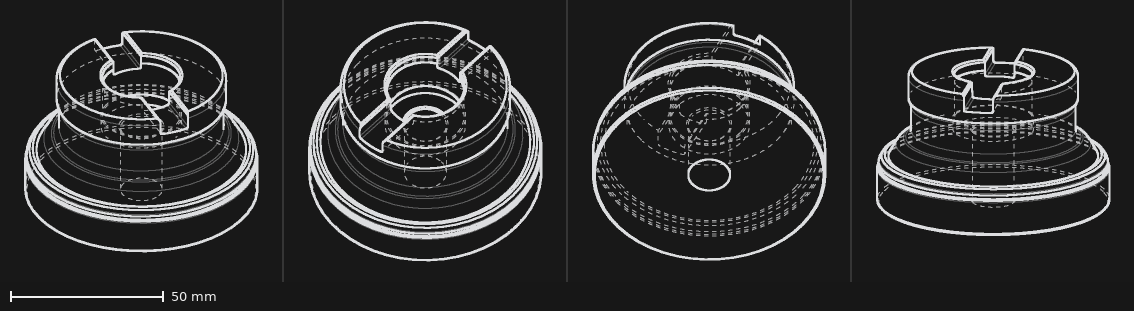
import cadquery as cq
import math

height = 44.4
rim_top = 16.1
neck_bottom = 24.5
neck_top = 32.6

base_radius = 38.1
band_radius = 37.6
neck_radius = 54.0 / 2
cap_radius = 55.6 / 2
cap_face_radius = 26.7

base_chamfer = 0.6
base_wall_top = 11.3
base_shoulder_radius = 37.95
base_shoulder_level = 11.9
base_shoulder_top = 12.35
band_top = 13.6
rim_slope_bottom_radius = 37.4
rim_slope_bottom = 14.2
rim_slope_radius = 36.65
rim_slope_top = 15.5
rim_crest_radius = 35.6
valley_radius = 34.35
valley_level = 15.5

upper_slope = math.radians(20)
lower_slope = math.radians(60)
neck_fillet = 2.6
shoulder_flat_width = 0.75
shoulder_round = 4.7

underside_slope = math.radians(25)
underside_fillet = 4.2
cap_round_height = 1.8

bore_radius = 25.4 / 2
relief_radius = 26.4 / 2
entry_radius = bore_radius + 0.1
entry_depth = 3.5
entry_chamfer = 0.7
relief_depth = 15.6
bore_depth = 19.8
hole_radius = 13.7 / 2
hole_chamfer = 0.5

slot_width = 9.75
slot_depth = 5.55
slot_floor_fillet = 0.7
slot_edge_chamfer = 0.6


def along_arc(start, radius, start_angle, end_angle):
    """Return the middle and end points of an arc whose radii run between two angles."""
    def offset(angle):
        x = start[0] + radius * (math.cos(angle) - math.cos(start_angle))
        z = start[1] + radius * (math.sin(angle) - math.sin(start_angle))
        return (x, z)

    return offset((start_angle + end_angle) / 2), offset(end_angle)


def make_body():
    """Revolve the outside profile, listed from the cap down to the base."""
    round_width = cap_radius - cap_face_radius
    cap_round = (cap_round_height**2 + round_width**2) / (2 * round_width)
    round_end = math.asin(cap_round_height / cap_round)
    cap_start = (cap_face_radius, height)
    cap_mid, cap_side = along_arc(cap_start, cap_round, round_end, 0)

    neck_start = (neck_radius, neck_top)
    under_mid, under_end = along_arc(
        neck_start, underside_fillet, math.pi, math.pi - underside_slope
    )
    cone_height = (cap_radius - under_end[0]) / math.tan(underside_slope)
    cap_bottom = (cap_radius, under_end[1] + cone_height)

    neck_end = (neck_radius, neck_bottom)
    fillet_mid, fillet_end = along_arc(
        neck_end, neck_fillet, math.pi, 1.5 * math.pi - upper_slope
    )
    round_start = (
        fillet_end[0] + shoulder_flat_width,
        fillet_end[1] - shoulder_flat_width * math.tan(upper_slope),
    )
    shoulder_mid, shoulder_end = along_arc(
        round_start, shoulder_round, math.pi / 2 - upper_slope, math.pi / 2 - lower_slope
    )

    profile = (
        cq.Workplane("XZ")
        .moveTo(0, height)
        .lineTo(*cap_start)
        .threePointArc(cap_mid, cap_side)
        .lineTo(*cap_bottom)
        .lineTo(*under_end)
        .threePointArc(under_mid, neck_start)
        .lineTo(*neck_end)
        .threePointArc(fillet_mid, fillet_end)
        .lineTo(*round_start)
        .threePointArc(shoulder_mid, shoulder_end)
        .lineTo(valley_radius, valley_level)
        .lineTo(rim_crest_radius, rim_top)
        .lineTo(rim_slope_radius, rim_slope_top)
        .lineTo(rim_slope_bottom_radius, rim_slope_bottom)
        .tangentArcPoint((band_radius, band_top), relative=False)
        .lineTo(band_radius, base_shoulder_top)
        .lineTo(base_shoulder_radius, base_shoulder_level)
        .lineTo(base_radius, base_wall_top)
        .lineTo(base_radius, base_chamfer)
        .lineTo(base_radius - base_chamfer, 0)
        .lineTo(0, 0)
        .close()
    )
    return profile.revolve(360, (0, 0, 0), (0, 1, 0))


def make_bore():
    """Revolve the material removed by the bore, its entry and relief, and the through hole."""
    floor = height - bore_depth
    relief_top = height - relief_depth
    profile = (
        cq.Workplane("XZ")
        .moveTo(0, 0)
        .lineTo(hole_radius, 0)
        .lineTo(hole_radius, floor - hole_chamfer)
        .lineTo(hole_radius + hole_chamfer, floor)
        .lineTo(relief_radius, floor)
        .lineTo(relief_radius, relief_top)
        .lineTo(bore_radius, relief_top)
        .lineTo(bore_radius, height - entry_depth)
        .lineTo(entry_radius, height - entry_depth)
        .lineTo(entry_radius, height - entry_chamfer)
        .lineTo(entry_radius + entry_chamfer, height)
        .lineTo(0, height)
        .close()
    )
    return profile.revolve(360, (0, 0, 0), (0, 1, 0))


def make_slot():
    """Build the slot cutter, with filleted floor corners and flared top edges."""
    length = 2 * base_radius
    channel = (
        cq.Workplane("XY", origin=(0, 0, height - slot_depth))
        .box(length, slot_width, slot_depth, centered=(True, True, False))
        .edges("|X and <Z")
        .fillet(slot_floor_fillet)
    )
    half_width = slot_width / 2
    flare = (
        cq.Workplane("YZ")
        .moveTo(-half_width, height - slot_edge_chamfer)
        .lineTo(half_width, height - slot_edge_chamfer)
        .lineTo(half_width + slot_edge_chamfer, height)
        .lineTo(-half_width - slot_edge_chamfer, height)
        .close()
        .extrude(length / 2, both=True)
    )
    return channel.union(flare)


result = make_body().cut(make_bore()).cut(make_slot())